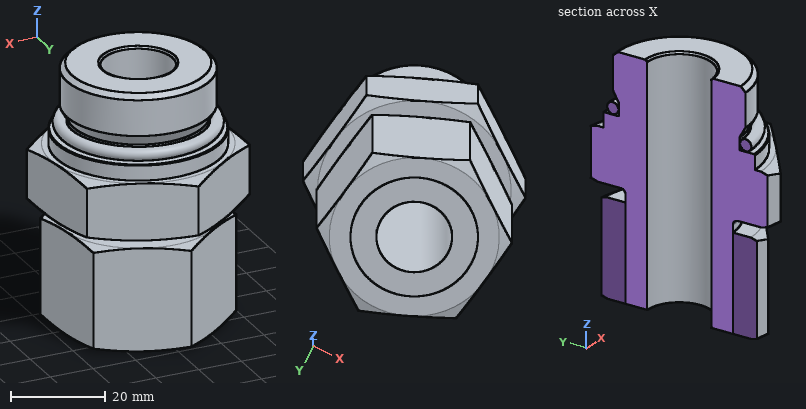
import cadquery as cq
import math


TOTAL_HEIGHT = 59.1
NUT_HEIGHT = 24.05
HEX_BOTTOM = 27.0
HEX_TOP = 40.3
COLLAR_TOP = 43.95
PLUG_BOTTOM = 49.6

BORE_DIAMETER = 16.0
NECK_DIAMETER = 27.0
GROOVE_DIAMETER = 30.4
PLUG_DIAMETER = 33.35
COLLAR_DIAMETER = 38.1
O_RING_THICKNESS = 2.95

BODY_ACROSS_FLATS = 41.0
NUT_ACROSS_FLATS = 36.0
HEX_TURN = 7.5
HEX_CHAMFER_ANGLE = 17.0

PLUG_CHAMFER = 1.2
BORE_CHAMFER = 0.5
COLLAR_CHAMFER = 0.2
NECK_FILLET = 1.25


def hexagon_prism(across_flats, bottom, top):
    """Hexagon prism whose corners are turned down by a shallow cone at both ends."""
    corner_radius = across_flats / math.sqrt(3)
    flat_radius = across_flats / 2
    corner_drop = (corner_radius - flat_radius) * math.tan(math.radians(HEX_CHAMFER_ANGLE))
    prism = (
        cq.Workplane("XY", origin=(0, 0, bottom))
        .polygon(6, 2 * corner_radius)
        .extrude(top - bottom)
        .rotate((0, 0, 0), (0, 0, 1), 90 + HEX_TURN)
    )
    envelope = (
        cq.Workplane("XZ")
        .moveTo(0, bottom)
        .lineTo(flat_radius, bottom)
        .lineTo(corner_radius, bottom + corner_drop)
        .lineTo(corner_radius, top - corner_drop)
        .lineTo(flat_radius, top)
        .lineTo(0, top)
        .close()
        .revolve(360, (0, 0), (0, 1))
    )
    return prism.intersect(envelope)


def make_body():
    """Plug end, O-ring groove, collar, hexagon and neck around one through bore."""
    plug_radius = PLUG_DIAMETER / 2
    groove_radius = GROOVE_DIAMETER / 2
    collar_radius = COLLAR_DIAMETER / 2
    neck_radius = NECK_DIAMETER / 2
    groove_top = COLLAR_TOP + O_RING_THICKNESS

    upper = (
        cq.Workplane("XZ")
        .moveTo(0, HEX_TOP)
        .lineTo(collar_radius, HEX_TOP)
        .lineTo(collar_radius, COLLAR_TOP - COLLAR_CHAMFER)
        .lineTo(collar_radius - COLLAR_CHAMFER, COLLAR_TOP)
        .lineTo(groove_radius, COLLAR_TOP)
        .lineTo(groove_radius, groove_top)
        .lineTo(plug_radius, PLUG_BOTTOM)
        .lineTo(plug_radius, TOTAL_HEIGHT - PLUG_CHAMFER)
        .lineTo(plug_radius - PLUG_CHAMFER, TOTAL_HEIGHT)
        .lineTo(0, TOTAL_HEIGHT)
        .close()
        .revolve(360, (0, 0), (0, 1))
    )
    fillet_center_radius = neck_radius + NECK_FILLET
    fillet_center_height = HEX_BOTTOM - NECK_FILLET
    fillet_reach = NECK_FILLET * math.sqrt(0.5)
    neck = (
        cq.Workplane("XZ")
        .lineTo(neck_radius, 0)
        .lineTo(neck_radius, fillet_center_height)
        .threePointArc(
            (fillet_center_radius - fillet_reach, fillet_center_height + fillet_reach),
            (fillet_center_radius, HEX_BOTTOM),
        )
        .lineTo(0, HEX_BOTTOM)
        .close()
        .revolve(360, (0, 0), (0, 1))
    )
    bore_radius = BORE_DIAMETER / 2
    bore = (
        cq.Workplane("XZ")
        .lineTo(bore_radius, 0)
        .lineTo(bore_radius, TOTAL_HEIGHT - BORE_CHAMFER)
        .lineTo(bore_radius + BORE_CHAMFER, TOTAL_HEIGHT)
        .lineTo(0, TOTAL_HEIGHT)
        .close()
        .revolve(360, (0, 0), (0, 1))
    )
    hexagon = hexagon_prism(BODY_ACROSS_FLATS, HEX_BOTTOM, HEX_TOP)
    return hexagon.union(upper).union(neck).cut(bore)


def make_o_ring():
    """Ring of round section seated in the groove, resting on the collar."""
    section_radius = O_RING_THICKNESS / 2
    ring_radius = GROOVE_DIAMETER / 2 + section_radius
    return (
        cq.Workplane("XZ")
        .center(ring_radius, COLLAR_TOP + section_radius)
        .circle(section_radius)
        .revolve(360, (-ring_radius, 0), (-ring_radius, 1))
    )


def make_nut():
    """Hexagon nut bored to fit around the neck."""
    neck_hole = cq.Workplane("XY").circle(NECK_DIAMETER / 2).extrude(NUT_HEIGHT)
    return hexagon_prism(NUT_ACROSS_FLATS, 0, NUT_HEIGHT).cut(neck_hole)


body = make_body()
o_ring = make_o_ring()
nut = make_nut()

result = cq.Compound.makeCompound([body.val(), o_ring.val(), nut.val()])